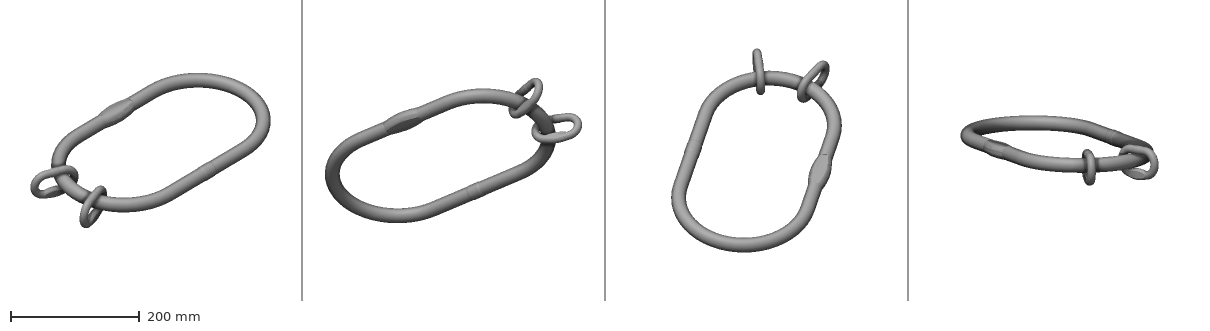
import cadquery as cq
import math

MASTER_WIRE_DIA = 23.0
MASTER_INNER_WIDTH = 180.0
MASTER_STRAIGHT = 159.5
MASTER_WELD_DIA = 24.5
MASTER_WELD_LENGTH = 22.5
MASTER_FLAT_LENGTH = 62.0
MASTER_FLAT_WIDTH = 32.0

SUB_WIRE_DIA = 13.0
SUB_INNER_WIDTH = 25.0
SUB_STRAIGHT = 29.7
SUB_WELD_DIA = 14.0
SUB_WELD_LENGTH = 12.5
SUB_FLAT_LENGTH = 34.8
SUB_FLAT_WIDTH = 18.0
SUB_TILT = 20.0
SUB_CENTRE_X = 43.5
SUB_CENTRE_Y = -187.7

FACE_HEIGHT_RATIO = 0.88
EDGE_HEIGHT_RATIO = 0.25
WELD_TAPER_RATIO = 0.11


def wire_loop(wire_dia, bend_radius, straight):
    """Round wire swept along two straight legs and two half-circle bends."""
    half = straight / 2
    path = (
        cq.Workplane("XY")
        .moveTo(bend_radius, -half)
        .lineTo(bend_radius, half)
        .threePointArc((0, half + bend_radius), (-bend_radius, half))
        .lineTo(-bend_radius, -half)
        .threePointArc((0, -half - bend_radius), (bend_radius, -half))
        .close()
    )
    section = cq.Workplane("XZ", origin=(bend_radius, -half, 0)).circle(wire_dia / 2)
    return section.sweep(path)


def weld_collar(wire_dia, weld_dia, length):
    """Slightly raised collar along Y, tapering to the wire at both ends."""
    taper = WELD_TAPER_RATIO * length
    half = length / 2
    return (
        cq.Workplane("XY")
        .moveTo(0, -half)
        .lineTo(wire_dia / 2, -half)
        .lineTo(weld_dia / 2, -half + taper)
        .lineTo(weld_dia / 2, half - taper)
        .lineTo(wire_dia / 2, half)
        .lineTo(0, half)
        .close()
        .revolve(360, (0, 0, 0), (0, 1, 0))
    )


def flattened_swelling(wire_dia, length, width):
    """Lens-shaped swelling along Y with flat faces and the wire's rounding along its edges."""
    radius = wire_dia / 2
    face_z = FACE_HEIGHT_RATIO * radius
    edge_z = EDGE_HEIGHT_RATIO * radius
    face_x = math.sqrt(radius**2 - face_z**2)
    edge_x = math.sqrt(radius**2 - edge_z**2)

    bow = width / 2 - edge_x
    bow_radius = (length**2 / 4 + bow**2) / (2 * bow)
    axis_x = width / 2 - bow_radius
    mid_angle = (math.asin(FACE_HEIGHT_RATIO) + math.asin(EDGE_HEIGHT_RATIO)) / 2
    mid_x = radius * math.cos(mid_angle) + bow
    mid_z = radius * math.sin(mid_angle)

    disc = (
        cq.Workplane("XZ")
        .moveTo(axis_x, -face_z)
        .lineTo(face_x + bow, -face_z)
        .threePointArc((mid_x, -mid_z), (edge_x + bow, -edge_z))
        .lineTo(edge_x + bow, edge_z)
        .threePointArc((mid_x, mid_z), (face_x + bow, face_z))
        .lineTo(axis_x, face_z)
        .close()
        .revolve(360, (axis_x, 0, 0), (axis_x, 1, 0))
    )
    ends = cq.Workplane("XY").box(width, length, wire_dia)
    return disc.intersect(disc.mirror("YZ")).intersect(ends)


def link(wire_dia, inner_width, straight, weld_dia, weld_length, flat_length, flat_width):
    """Closed link in the XY plane: weld collar on the +X leg, swelling on the -X leg."""
    bend_radius = (inner_width + wire_dia) / 2
    loop = wire_loop(wire_dia, bend_radius, straight)
    collar = weld_collar(wire_dia, weld_dia, weld_length).translate((bend_radius, 0, 0))
    swelling = flattened_swelling(wire_dia, flat_length, flat_width).translate((-bend_radius, 0, 0))

    gap = cq.Workplane("XY").box(flat_width, flat_length, 2 * wire_dia).translate((-bend_radius, 0, 0))
    return loop.cut(gap).union(swelling).union(collar)


def make_master_link():
    return link(
        MASTER_WIRE_DIA, MASTER_INNER_WIDTH, MASTER_STRAIGHT,
        MASTER_WELD_DIA, MASTER_WELD_LENGTH,
        MASTER_FLAT_LENGTH, MASTER_FLAT_WIDTH,
    )


def make_sub_link(side):
    """Upright sub-link, weld on top; side is -1 for the -X link and +1 for the +X link."""
    flat_link = link(
        SUB_WIRE_DIA, SUB_INNER_WIDTH, SUB_STRAIGHT,
        SUB_WELD_DIA, SUB_WELD_LENGTH,
        SUB_FLAT_LENGTH, SUB_FLAT_WIDTH,
    )
    upright = flat_link.rotate((0, 0, 0), (0, 1, 0), -90)
    tilted = upright.rotate((0, 0, 0), (0, 0, 1), side * SUB_TILT)
    return tilted.translate((side * SUB_CENTRE_X, SUB_CENTRE_Y, 0))


master_link = make_master_link()
sub_links = [make_sub_link(side) for side in (-1, 1)]

result = cq.Compound.makeCompound(
    [master_link.solids().val(), *[sub_link.solids().val() for sub_link in sub_links]]
)